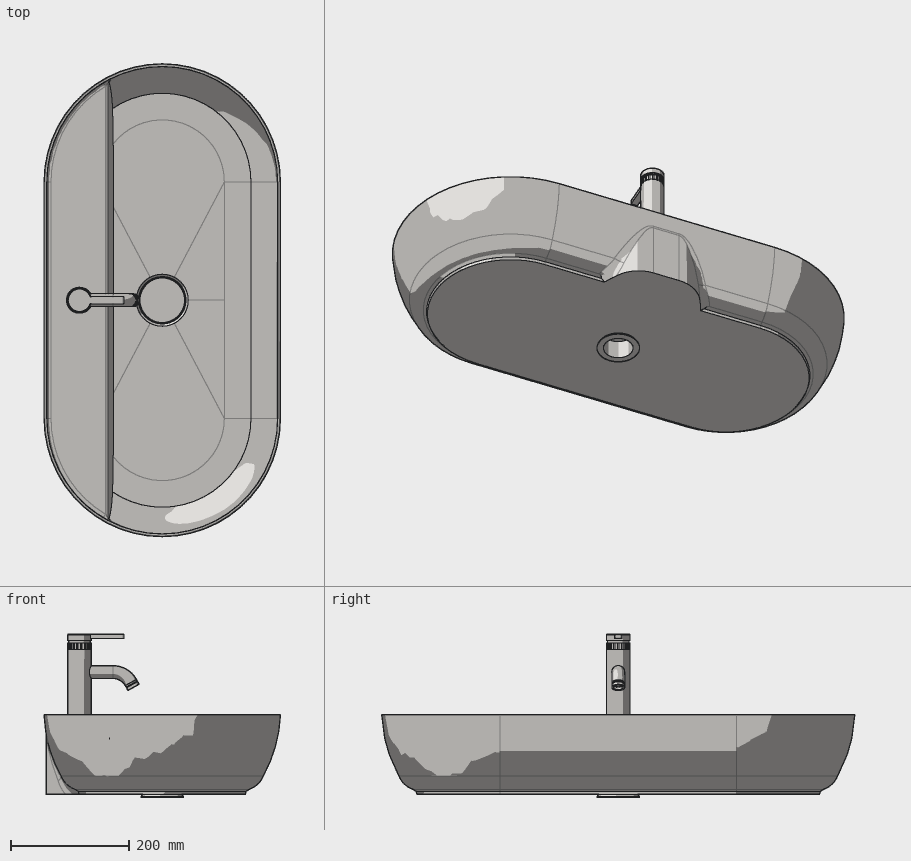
import cadquery as cq
import math


total_height = 275.73

rim_radius = 200.0
end_offset = 200.0
rim_height = 135.0
rim_thickness = 5.0
rim_rounding = 1.5

foot_radius = 140.5
foot_top_radius = 142.0
foot_height = 5.0
belly_end = (147.5, 8.5)
belly_middle = (161.0, 16.5)
belly_start = (171.0, 31.0)
wall_middle = (189.5, 74.0)

inner_wall_middle = (181.0, 80.0)
floor_edge = (150.0, 52.0)
floor_bend = (105.0, 43.0)
drain_edge_height = 36.0

deck_height = 114.0
deck_edge_x = -91.0
deck_edge_rounding = 5.0
deck_wall_foot_x = -82.0
deck_border_rounding = 7.0
support_face_x = -196.5
support_inner_x = -120.0
support_height = 112.0
support_width = 168.0
support_corner_radius = 60.0
support_blend_radius = 20.0

selection_margin = 0.1

drain_recess_diameter = 88.0
drain_flange_diameter = 80.0
drain_flange_top = 31.0
drain_flange_thickness = 3.0
drain_pipe_diameter = 67.0
drain_nut_diameter = 72.0
drain_bottom = -5.0
drain_nut_edge = 1.0
drain_bore_diameter = 50.0
plug_diameter = 77.0
plug_thickness = 2.5
plug_chamfer = 0.8

faucet_x = -140.0
faucet_diameter = 40.0
faucet_top = total_height + drain_bottom
base_ring_diameter = 44.0
base_ring_height = 8.0
base_ring_chamfer = 1.0
cap_height = 11.0
cap_chamfer = 1.0
lever_reach = 75.5
lever_width = 12.0
lever_thickness = 7.5
lever_rounding = 1.5
collar_height = 14.5
collar_neck_height = 3.5
collar_neck_diameter = 36.9
groove_count = 18
groove_width = 2.5
groove_depth = 1.0

spout_diameter = 22.0
spout_drop = 64.0
spout_straight = 56.5
spout_bend_radius = 35.0
spout_bend_angle = 61.0
spout_tip_length = 2.5
aerator_diameter = 18.5
aerator_insert_length = 3.0
aerator_rim_length = 6.5
aerator_groove_length = 1.2
aerator_groove_diameter = 20.0
aerator_bore_diameter = 16.0


def stadium_solid(profile):
    """Carry a closed (radius, height) half-section around the elongated bowl."""
    section = profile.val()
    right_half = cq.Workplane("XZ").add(section).toPending().extrude(end_offset, both=True)
    round_end = cq.Workplane("XZ").add(section).toPending().revolve(180, (0, 0, 0), (0, 1, 0))
    far_end = round_end.translate((0, end_offset, 0))
    return right_half.union(right_half.mirror("YZ")).union(far_end).union(far_end.mirror("XZ"))


def bowl_outside():
    profile = (
        cq.Workplane("XZ")
        .lineTo(foot_radius, 0)
        .lineTo(foot_top_radius, foot_height)
        .lineTo(*belly_end)
        .threePointArc(belly_middle, belly_start)
        .threePointArc(wall_middle, (rim_radius, rim_height - rim_rounding))
        .radiusArc((rim_radius - rim_rounding, rim_height), -rim_rounding)
        .lineTo(0, rim_height)
        .close()
    )
    return stadium_solid(profile)


def bowl_cavity():
    inner_rim = rim_radius - rim_thickness
    profile = (
        cq.Workplane("XZ")
        .moveTo(0, floor_bend[1])
        .lineTo(*floor_bend)
        .lineTo(*floor_edge)
        .threePointArc(inner_wall_middle, (inner_rim, rim_height))
        .lineTo(0, rim_height)
        .close()
    )
    slope = (
        cq.Workplane("XY", origin=(0, 0, drain_edge_height))
        .circle(drain_recess_diameter / 2)
        .workplane(offset=floor_bend[1] - drain_edge_height)
        .slot2D(2 * (end_offset + floor_bend[0]), 2 * floor_bend[0], 90)
        .loft(ruled=True)
    )
    return stadium_solid(profile).union(slope)


def deck_block():
    """Shelf along the rear side, with a rounded edge above a sloping front wall."""
    return (
        cq.Workplane("XZ")
        .moveTo(-rim_radius, 0)
        .lineTo(-rim_radius, deck_height)
        .lineTo(deck_edge_x - deck_edge_rounding, deck_height)
        .radiusArc((deck_edge_x, deck_height - deck_edge_rounding), deck_edge_rounding)
        .lineTo(deck_wall_foot_x, drain_edge_height)
        .lineTo(deck_wall_foot_x, 0)
        .close()
        .extrude(rim_radius + end_offset, both=True)
    )


def rear_support():
    """Pillar under the rear side, with a flat face and large rounded corners."""
    depth = support_inner_x - support_face_x
    return (
        cq.Workplane("XY", origin=(support_face_x + depth / 2, 0, 0))
        .rect(depth, support_width)
        .extrude(support_height)
        .edges("|Z and <X")
        .fillet(support_corner_radius)
    )


def drain_opening():
    """Sloping recess around the plug, and the seat of the drain valve."""
    recess = (
        cq.Workplane("XZ")
        .lineTo(drain_pipe_diameter / 2, 0)
        .lineTo(drain_pipe_diameter / 2, drain_flange_top - drain_flange_thickness)
        .lineTo(drain_flange_diameter / 2, drain_flange_top - drain_flange_thickness)
        .lineTo(drain_flange_diameter / 2, drain_flange_top)
        .lineTo(drain_recess_diameter / 2, drain_edge_height)
        .lineTo(0, drain_edge_height)
        .close()
    )
    return recess.revolve(360, (0, 0, 0), (0, 1, 0))


def supported_bowl():
    """Bowl with the support, blended where their walls meet above the foot neck."""
    meeting_edges = cq.selectors.BoxSelector(
        (-rim_radius, -support_width, belly_end[1] - selection_margin),
        (-foot_radius, support_width, support_height),
        boundingbox=True,
    )
    return bowl_outside().union(rear_support()).edges(meeting_edges).fillet(support_blend_radius)


def make_basin():
    hollow = bowl_cavity().cut(deck_block())
    deck_border = cq.selectors.BoxSelector(
        (-rim_radius, -rim_radius - end_offset, deck_height - selection_margin),
        (
            deck_edge_x - deck_edge_rounding - selection_margin,
            rim_radius + end_offset,
            deck_height + selection_margin,
        ),
    )
    basin = supported_bowl().cut(hollow).edges(deck_border).fillet(deck_border_rounding)
    return basin.cut(drain_opening())


def make_drain_valve():
    section = (
        cq.Workplane("XZ")
        .moveTo(drain_bore_diameter / 2, drain_bottom)
        .lineTo(drain_nut_diameter / 2, drain_bottom)
        .lineTo(drain_nut_diameter / 2, drain_bottom + drain_nut_edge)
        .lineTo(drain_pipe_diameter / 2, 0)
        .lineTo(drain_pipe_diameter / 2, drain_flange_top - drain_flange_thickness)
        .lineTo(drain_flange_diameter / 2, drain_flange_top - drain_flange_thickness)
        .lineTo(drain_flange_diameter / 2, drain_flange_top)
        .lineTo(drain_bore_diameter / 2, drain_flange_top)
        .close()
    )
    return section.revolve(360, (0, 0, 0), (0, 1, 0))


def make_drain_plug():
    return (
        cq.Workplane("XY", origin=(0, 0, drain_flange_top))
        .circle(plug_diameter / 2)
        .extrude(plug_thickness)
        .faces(">Z")
        .edges()
        .chamfer(plug_chamfer)
    )


collar_top = faucet_top - cap_height
collar_bottom = collar_top - collar_height
spout_z = faucet_top - spout_drop
bend_start_x = faucet_x + spout_straight
bend_radians = math.radians(spout_bend_angle)


def bend_point(angle):
    return (
        bend_start_x + spout_bend_radius * math.sin(angle),
        spout_z - spout_bend_radius * (1 - math.cos(angle)),
    )


spout_direction = (math.cos(bend_radians), -math.sin(bend_radians))
bend_end = bend_point(bend_radians)
spout_end = tuple(p + spout_tip_length * d for p, d in zip(bend_end, spout_direction))


def spout_end_plane():
    return cq.Workplane(
        cq.Plane(
            origin=(spout_end[0], 0, spout_end[1]),
            xDir=(0, 1, 0),
            normal=(spout_direction[0], 0, spout_direction[1]),
        )
    )


def make_base_ring():
    return (
        cq.Workplane("XY", origin=(faucet_x, 0, deck_height))
        .circle(base_ring_diameter / 2)
        .extrude(base_ring_height)
        .faces(">Z")
        .edges()
        .chamfer(base_ring_chamfer)
        .faces(">Z")
        .workplane()
        .circle(faucet_diameter / 2)
        .cutThruAll()
    )


def make_faucet_body():
    column = (
        cq.Workplane("XY", origin=(faucet_x, 0, deck_height))
        .circle(faucet_diameter / 2)
        .extrude(collar_bottom - deck_height)
    )
    path = (
        cq.Workplane("XZ")
        .moveTo(faucet_x, spout_z)
        .lineTo(bend_start_x, spout_z)
        .threePointArc(bend_point(bend_radians / 2), bend_end)
        .lineTo(*spout_end)
    )
    spout = cq.Workplane("YZ", origin=(faucet_x, 0, spout_z)).circle(spout_diameter / 2).sweep(path)
    socket = spout_end_plane().circle(aerator_diameter / 2).extrude(-aerator_insert_length)
    return column.union(spout).cut(socket)


def make_aerator():
    end = spout_end_plane()
    insert = end.circle(aerator_diameter / 2).extrude(-aerator_insert_length)
    groove = end.circle(aerator_groove_diameter / 2).extrude(aerator_groove_length)
    rim = (
        end.workplane(offset=aerator_groove_length)
        .circle(spout_diameter / 2)
        .extrude(aerator_rim_length - aerator_groove_length)
    )
    outlet = (
        end.workplane(offset=aerator_groove_length)
        .circle(aerator_bore_diameter / 2)
        .extrude(aerator_rim_length)
    )
    return insert.union(groove).union(rim).cut(outlet)


def make_collar():
    """Grooved ring below the lever, with a narrow neck on top."""
    ring_height = collar_height - collar_neck_height
    ring = (
        cq.Workplane("XY", origin=(faucet_x, 0, collar_bottom))
        .circle(faucet_diameter / 2)
        .extrude(ring_height)
    )
    grooves = (
        cq.Workplane("XY", origin=(faucet_x, 0, collar_bottom))
        .polarArray(faucet_diameter / 2, 0, 360, groove_count)
        .rect(2 * groove_depth, groove_width)
        .extrude(ring_height)
    )
    neck = (
        cq.Workplane("XY", origin=(faucet_x, 0, collar_bottom + ring_height))
        .circle(collar_neck_diameter / 2)
        .extrude(collar_neck_height)
    )
    return ring.cut(grooves).union(neck)


def make_lever():
    cap = (
        cq.Workplane("XY", origin=(faucet_x, 0, collar_top))
        .circle(faucet_diameter / 2)
        .extrude(cap_height)
        .faces(">Z")
        .edges()
        .chamfer(cap_chamfer)
    )
    handle = (
        cq.Workplane("XY", origin=(faucet_x, 0, faucet_top - lever_thickness))
        .rect(2 * lever_reach, lever_width)
        .extrude(lever_thickness)
        .intersect(
            cq.Workplane("XY", origin=(faucet_x + lever_reach / 2, 0, 0))
            .rect(lever_reach, lever_width)
            .extrude(faucet_top)
        )
        .faces(">X")
        .edges()
        .fillet(lever_rounding)
    )
    return cap.union(handle)


basin = make_basin()
drain_valve = make_drain_valve()
drain_plug = make_drain_plug()
base_ring = make_base_ring()
faucet_body = make_faucet_body()
aerator = make_aerator()
collar = make_collar()
lever = make_lever()

result = cq.Compound.makeCompound(
    [
        basin.val(),
        drain_valve.val(),
        drain_plug.val(),
        base_ring.val(),
        faucet_body.val(),
        aerator.val(),
        collar.val(),
        lever.val(),
    ]
)